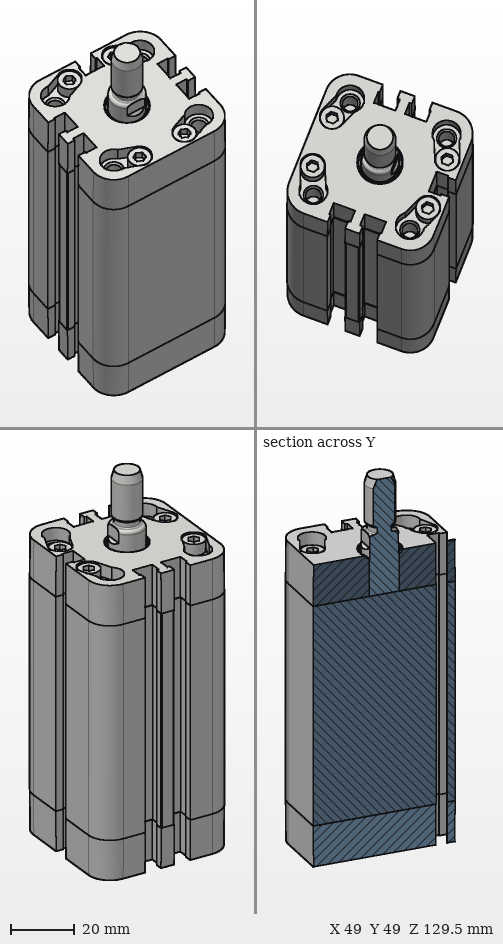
import cadquery as cq
import math

width = 49.0
corner_radius = 8.0
half_width = width / 2
cap_draft = 0.5

cap_height = 14.2
body_height = 104.0
rod_top = 129.5
barrel_top = body_height - cap_height

lip_thickness = 2.8
cap_slot_depth = 6.75
barrel_slot_depth = 6.5
pair_mouth_width = 5.9
pair_inner_width = 7.2
pair_pitch = 10.8
pair_inner_shift = -0.2
single_mouth_width = 5.9
single_inner_width = 7.0
rib_chamfer = 0.4

rod_diameter = 12.0
thread_diameter = 10.0
tip_diameter = 8.25
neck_diameter = tip_diameter
tip_chamfer_height = 2.95
thread_length = 15.8
neck_end = 18.75
neck_cone_height = (thread_diameter - neck_diameter) / 2
shoulder_fillet = 1.25
neck_fillet = 0.4
flats_width = 10.0
flats_end = 23.3

entry_diameter = 14.5
wiper_diameter = 13.7
wiper_depth = 1.0
lip_recess_diameter = 12.54
lip_recess_depth = 0.5

thread_hole_offset = 16.25
screw_x = 19.4
screw_y = 8.6
pocket_depth = 4.5
spotface_diameter = 9.0
pocket_width = 7.9
tapped_hole_diameter = 4.92
tapped_hole_countersink = 6.2
tapped_hole_depth = 9.0
screw_head_diameter = 7.5
screw_head_recess = 0.5
socket_across_flats = 3.5
socket_depth = 2.5


def t_slot(slot_depth, mouth_width, inner_width, inner_shift=0.0):
    """T-slot cutter open towards +Y, centred on X = 0, over the whole body height."""
    mouth = cq.Workplane("XY").rect(mouth_width, 2 * slot_depth).extrude(body_height)
    inner = (
        cq.Workplane("XY")
        .center(inner_shift, -(lip_thickness + slot_depth) / 2)
        .rect(inner_width, slot_depth - lip_thickness)
        .extrude(body_height)
    )
    return mouth.union(inner).translate((0, half_width, 0))


def body_block(bottom, height, slot_depth, draft=0.0):
    """Rounded square block with every T-slot cut into it; a negative height builds downwards."""
    outline = cq.Sketch().rect(width, width).vertices().fillet(corner_radius)
    block = cq.Workplane("XY", origin=(0, 0, bottom)).placeSketch(outline).extrude(height, taper=draft)
    right_slot = t_slot(slot_depth, pair_mouth_width, pair_inner_width, pair_inner_shift)
    right_slot = right_slot.translate((pair_pitch / 2, 0, 0))
    pair = right_slot.union(right_slot.mirror("YZ"))
    block = block.cut(pair).cut(pair.mirror("XZ"))
    side_slot = t_slot(slot_depth, single_mouth_width, single_inner_width).rotate((0, 0, 0), (0, 0, 1), 90)
    return block.cut(side_slot)


def make_barrel():
    """Plain length between the caps, with the outer corners of the narrow ribs chamfered."""
    barrel = body_block(cap_height, barrel_top - cap_height, barrel_slot_depth)
    rib_half_width = (pair_pitch - pair_mouth_width) / 2
    for side in (-1, 1):
        for end in (-1, 1):
            corner = (side * rib_half_width, end * half_width)
            wedge = (
                cq.Workplane("XY", origin=(0, 0, cap_height))
                .polyline([
                    corner,
                    (corner[0] - side * rib_chamfer, corner[1]),
                    (corner[0], corner[1] - end * rib_chamfer),
                ])
                .close()
                .extrude(barrel_top - cap_height)
            )
            barrel = barrel.cut(wedge)
    return barrel


def cylinder(x, y, bottom, top, diameter):
    return cq.Workplane("XY", origin=(x, y, bottom)).circle(diameter / 2).extrude(top - bottom)


def pocket_cutter():
    """Slot joining the tapped hole and the screw, with a wider spotface round the hole."""
    floor = body_height - pocket_depth
    run_x = thread_hole_offset - screw_x
    run_y = thread_hole_offset - screw_y
    middle = ((thread_hole_offset + screw_x) / 2, (thread_hole_offset + screw_y) / 2, floor)
    slot = (
        cq.Workplane("XY", origin=middle)
        .slot2D(math.hypot(run_x, run_y) + pocket_width, pocket_width, math.degrees(math.atan2(run_y, run_x)))
        .extrude(pocket_depth)
    )
    return slot.union(cylinder(thread_hole_offset, thread_hole_offset, floor, body_height, spotface_diameter))


def stepped_bore(x, y, steps):
    """Turned cutter about a vertical axis at (x, y), from (diameter, height) pairs listed top down."""
    outline = [(diameter / 2, height) for diameter, height in steps]
    return (
        cq.Workplane("XZ")
        .polyline([(0, outline[0][1]), *outline, (0, outline[-1][1])])
        .close()
        .revolve(360, (0, 0, 0), (0, 1, 0))
        .translate((x, y, 0))
    )


def tapped_hole_cutter():
    floor = body_height - pocket_depth
    countersink_height = (tapped_hole_countersink - tapped_hole_diameter) / 2
    return stepped_bore(thread_hole_offset, thread_hole_offset, [
        (tapped_hole_countersink, floor),
        (tapped_hole_diameter, floor - countersink_height),
        (tapped_hole_diameter, floor - tapped_hole_depth),
    ])


def rod_bore_cutter():
    entry_end = body_height - (entry_diameter - wiper_diameter) / 2
    wiper_end = body_height - wiper_depth
    lip_end = wiper_end - lip_recess_depth
    return stepped_bore(0, 0, [
        (entry_diameter, body_height),
        (wiper_diameter, entry_end),
        (wiper_diameter, wiper_end),
        (lip_recess_diameter, wiper_end),
        (lip_recess_diameter, lip_end),
        (rod_diameter, lip_end),
        (rod_diameter, barrel_top),
    ])


def screw_head():
    top = body_height - screw_head_recess
    socket = (
        cq.Workplane("XY", origin=(screw_x, screw_y, top - socket_depth))
        .polygon(6, socket_across_flats / math.cos(math.pi / 6))
        .extrude(socket_depth)
    )
    return cylinder(screw_x, screw_y, body_height - pocket_depth, top, screw_head_diameter).cut(socket)


def in_each_corner(shape):
    """The shape from the +X +Y corner and its mirror images in the other three."""
    right_pair = [shape, shape.mirror("XZ")]
    return right_pair + [item.mirror("YZ") for item in right_pair]


def make_upper_cap():
    cap = body_block(barrel_top, cap_height, cap_slot_depth, cap_draft)
    for cutter in in_each_corner(pocket_cutter().union(tapped_hole_cutter())):
        cap = cap.cut(cutter)
    for head in in_each_corner(screw_head()):
        cap = cap.union(head)
    return cap.cut(rod_bore_cutter())


def make_rod():
    rod_radius = rod_diameter / 2
    thread_radius = thread_diameter / 2
    neck_radius = neck_diameter / 2
    shoulder_z = rod_top - neck_end
    fillet_midpoint_ratio = 1 - math.sqrt(0.5)
    shoulder_mid = shoulder_fillet * fillet_midpoint_ratio
    neck_mid = neck_fillet * fillet_midpoint_ratio
    rod = (
        cq.Workplane("XZ")
        .moveTo(0, barrel_top)
        .lineTo(rod_radius, barrel_top)
        .lineTo(rod_radius, shoulder_z - shoulder_fillet)
        .threePointArc(
            (rod_radius - shoulder_mid, shoulder_z - shoulder_mid),
            (rod_radius - shoulder_fillet, shoulder_z),
        )
        .lineTo(neck_radius + neck_fillet, shoulder_z)
        .threePointArc(
            (neck_radius + neck_mid, shoulder_z + neck_mid),
            (neck_radius, shoulder_z + neck_fillet),
        )
        .lineTo(neck_radius, rod_top - thread_length - neck_cone_height)
        .lineTo(thread_radius, rod_top - thread_length)
        .lineTo(thread_radius, rod_top - tip_chamfer_height)
        .lineTo(tip_diameter / 2, rod_top)
        .lineTo(0, rod_top)
        .close()
        .revolve(360, (0, 0, 0), (0, 1, 0))
    )
    flat_x = flats_width / 2
    slope = rod_radius - flat_x
    flat = (
        cq.Workplane("XZ")
        .polyline([
            (flat_x, shoulder_z),
            (flat_x, rod_top - flats_end),
            (flat_x + slope, rod_top - flats_end - slope),
            (flat_x + slope, shoulder_z),
        ])
        .close()
        .extrude(rod_radius, both=True)
    )
    return rod.cut(flat).cut(flat.mirror("YZ"))


lower_cap = body_block(cap_height, -cap_height, cap_slot_depth, cap_draft)
barrel = make_barrel()
upper_cap = make_upper_cap()
rod = make_rod()

result = cq.Compound.makeCompound([lower_cap.val(), barrel.val(), upper_cap.val(), rod.val()])